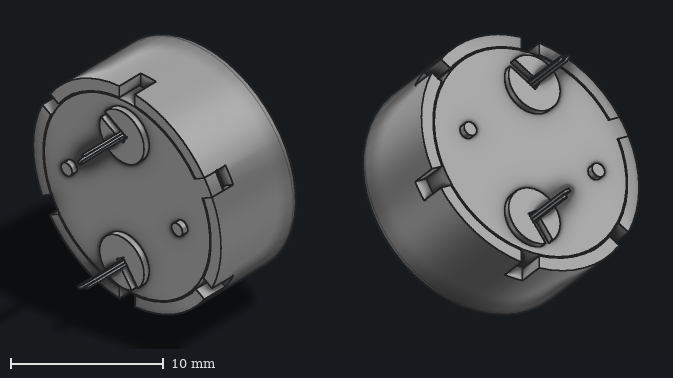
import cadquery as cq
import math

HOUSING_RADIUS = 8.5
HOUSING_DEPTH = 7.5
RECESS_RADIUS = 7.6
BACK_EDGE_FILLET = 0.68

NOTCH_COUNT = 6
NOTCH_WIDTH = 1.4
NOTCH_DEPTH = 2.0
NOTCH_START_ANGLE = 30.0

BASE_RADIUS = 7.5
BASE_THICKNESS = NOTCH_DEPTH
KEY_ANGLE = 30.0
KEY_OUTER_HEIGHT = 1.04
KEY_INNER_HEIGHT = 1.87

FEATURE_OFFSET = 5.0
FEATURE_HEIGHT = 0.5
PAD_RADIUS = 2.0
BOSS_RADIUS = 0.5
SLOT_WIDTH = 0.7
SLOT_OVERRUN = 0.29

PIN_LENGTH = 4.5
BLADE_WIDTH = 0.61
BLADE_THICKNESS = 0.2
BLADE_TIP_FILLET = 0.24
RIB_WIDTH = 0.4
RIB_THICKNESS = 0.2
RIB_LENGTH = PIN_LENGTH - 0.5
RIB_TIP_FILLET = 0.19

TERMINALS = [(FEATURE_OFFSET, 150.0), (-FEATURE_OFFSET, -54.0)]


def cylinder(radius, y_start, y_end, x=0.0, z=0.0):
    """Cylinder along Y between two positions."""
    start = cq.Vector(x, y_start, z)
    return cq.Workplane(cq.Solid.makeCylinder(radius, y_end - y_start, start, cq.Vector(0, 1, 0)))


def block(x_start, x_end, y_start, y_end, width):
    """Box spanning the given X and Y ranges, centred on z = 0."""
    box = cq.Workplane().box(x_end - x_start, y_end - y_start, width)
    return box.translate(((x_start + x_end) / 2, (y_start + y_end) / 2, 0))


def turn(shape, angle):
    """Turn a shape about the Y axis, from +X towards +Z."""
    return shape.rotate((0, 0, 0), (0, 1, 0), -angle)


def make_housing():
    body = cylinder(HOUSING_RADIUS, 0, HOUSING_DEPTH)
    body = body.faces(">Y").edges().fillet(BACK_EDGE_FILLET)
    body = body.cut(cylinder(RECESS_RADIUS, 0, NOTCH_DEPTH))
    notch = block(HOUSING_RADIUS / 2, HOUSING_RADIUS * 1.5, 0, NOTCH_DEPTH, NOTCH_WIDTH)
    for index in range(NOTCH_COUNT):
        body = body.cut(turn(notch, NOTCH_START_ANGLE + index * 360 / NOTCH_COUNT))
    return body


def make_key():
    """Wedge that fills the front of one notch, sloping down to the housing surface."""
    inner_radius = math.sqrt(RECESS_RADIUS**2 - (NOTCH_WIDTH / 2) ** 2)
    root_radius = BASE_RADIUS / 2
    profile = [
        (root_radius, 0),
        (HOUSING_RADIUS, 0),
        (HOUSING_RADIUS, KEY_OUTER_HEIGHT),
        (inner_radius, KEY_INNER_HEIGHT),
        (root_radius, KEY_INNER_HEIGHT),
    ]
    wedge = cq.Workplane("XY").polyline(profile).close().extrude(NOTCH_WIDTH / 2, both=True)
    wedge = wedge.intersect(cylinder(HOUSING_RADIUS, 0, NOTCH_DEPTH))
    return turn(wedge, KEY_ANGLE)


def make_pad(height, slot_angle):
    """Round pad with a slot running from just past its centre out through its rim."""
    pad = cylinder(PAD_RADIUS, -FEATURE_HEIGHT, 0)
    slot = block(-SLOT_OVERRUN, PAD_RADIUS, -FEATURE_HEIGHT, 0, SLOT_WIDTH)
    return pad.cut(turn(slot, slot_angle)).translate((0, 0, height))


def make_base():
    base = cylinder(BASE_RADIUS, 0, BASE_THICKNESS).union(make_key())
    for height, slot_angle in TERMINALS:
        base = base.union(make_pad(height, slot_angle))
    for x in (-FEATURE_OFFSET, FEATURE_OFFSET):
        base = base.union(cylinder(BOSS_RADIUS, -FEATURE_HEIGHT, 0, x=x))
    return base


def make_pin(height, slot_angle):
    """Pin standing on the base in the slot of a pad."""
    blade_face = BLADE_THICKNESS / 2
    blade = block(-blade_face, blade_face, -PIN_LENGTH, 0, BLADE_WIDTH)
    blade = blade.faces("<Y").edges("|X").fillet(BLADE_TIP_FILLET)
    rib = block(blade_face, blade_face + RIB_THICKNESS, -RIB_LENGTH, 0, RIB_WIDTH)
    rib = rib.faces("<Y").edges("|X").fillet(RIB_TIP_FILLET)
    return turn(blade.union(rib), slot_angle).translate((0, 0, height))


housing = make_housing()
base = make_base()
pins = [make_pin(height, slot_angle) for height, slot_angle in TERMINALS]

result = cq.Compound.makeCompound([housing.val(), base.val(), *[pin.val() for pin in pins]])